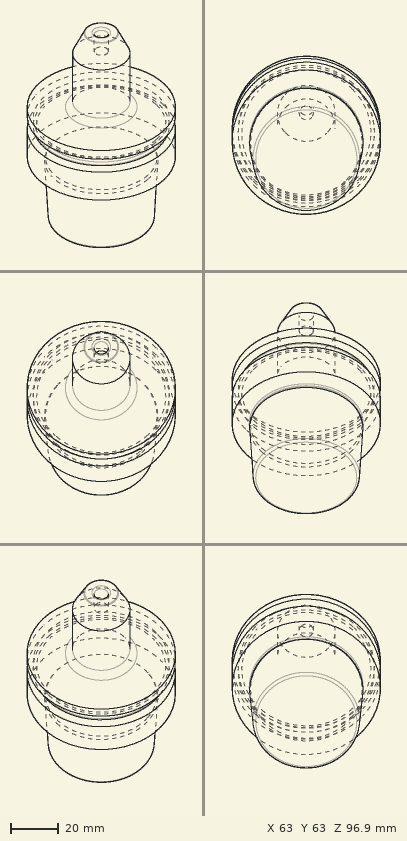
import cadquery as cq
import math

total_height = 96.9
flange_bottom = 32.0
flange_height = 26.0
flange_top = flange_bottom + flange_height
flange_radius = 31.5

taper_slope = 1 / 20
shank_end_fillet = 1.2

neck_radius = 23.6
neck_fillet = 0.6
neck_cylinder_height = 0.6
neck_cone_height = 0.6
neck_cone_angle = 30.0

groove_center = flange_bottom + 18.0
groove_mouth_width = 6.8
groove_floor_width = 3.8
groove_floor_radius = 27.4
groove_floor_fillet = 0.9
groove_flank_angle = 30.0

pin_radius = 12.2
pin_root_fillet = 3.0
pin_cone_start = 86.2
pin_cone_angle = 25.0
pin_tip_fillet = 0.4

hole_radius = 3.0
hole_depth = 9.7
hole_mouth_fillet = 1.0


def revolve_profile(profile):
    """Close an XZ half-profile and turn it once around the Z axis."""
    return profile.close().revolve(360, (0, 0), (0, 1))


def make_shank():
    """Taper shank with a rounded lower end and a relief neck against the flange."""
    cone_angle = math.radians(neck_cone_angle)
    neck_top = flange_bottom - neck_fillet
    neck_bottom = neck_top - neck_cylinder_height

    cone_top_radius = neck_radius + neck_fillet * (1 - math.cos(cone_angle))
    cone_top = neck_bottom - neck_fillet * math.sin(cone_angle)
    taper_top_radius = cone_top_radius + neck_cone_height * math.tan(cone_angle)
    taper_top = cone_top - neck_cone_height
    taper_bottom_radius = taper_top_radius - taper_slope * taper_top

    profile = (
        cq.Workplane("XZ")
        .lineTo(taper_bottom_radius, 0)
        .lineTo(taper_top_radius, taper_top)
        .lineTo(cone_top_radius, cone_top)
        .radiusArc((neck_radius, neck_bottom), neck_fillet)
        .lineTo(neck_radius, neck_top)
        .radiusArc((neck_radius + neck_fillet, flange_bottom), neck_fillet)
        .lineTo(0, flange_bottom)
    )
    return revolve_profile(profile).faces("<Z").edges().fillet(shank_end_fillet)


def make_flange():
    """Round flange with a V-groove that ends in a rounded rectangular floor."""
    half_mouth = groove_mouth_width / 2
    half_floor = groove_floor_width / 2
    flank_depth = (half_mouth - half_floor) / math.tan(math.radians(groove_flank_angle))
    flank_inner_radius = flange_radius - flank_depth
    step_inner_radius = groove_floor_radius + groove_floor_fillet
    half_straight = half_floor - groove_floor_fillet

    profile = (
        cq.Workplane("XZ")
        .moveTo(0, flange_bottom)
        .lineTo(flange_radius, flange_bottom)
        .lineTo(flange_radius, groove_center - half_mouth)
        .lineTo(flank_inner_radius, groove_center - half_floor)
        .lineTo(step_inner_radius, groove_center - half_floor)
        .radiusArc((groove_floor_radius, groove_center - half_straight), groove_floor_fillet)
        .lineTo(groove_floor_radius, groove_center + half_straight)
        .radiusArc((step_inner_radius, groove_center + half_floor), groove_floor_fillet)
        .lineTo(flank_inner_radius, groove_center + half_floor)
        .lineTo(flange_radius, groove_center + half_mouth)
        .lineTo(flange_radius, flange_top)
        .lineTo(0, flange_top)
    )
    return revolve_profile(profile)


def make_pin():
    """Pin with a flared root, a conical nose and a blind hole with a rounded mouth."""
    nose_height = total_height - pin_cone_start
    tip_radius = pin_radius - nose_height * math.tan(math.radians(pin_cone_angle))
    profile = (
        cq.Workplane("XZ")
        .moveTo(0, flange_top)
        .lineTo(pin_radius + pin_root_fillet, flange_top)
        .radiusArc((pin_radius, flange_top + pin_root_fillet), pin_root_fillet)
        .lineTo(pin_radius, pin_cone_start)
        .lineTo(tip_radius, total_height)
        .lineTo(0, total_height)
    )
    pin = revolve_profile(profile).faces(">Z").edges().fillet(pin_tip_fillet)
    pin = pin.faces(">Z").workplane().hole(2 * hole_radius, hole_depth)
    hole_rim = cq.selectors.RadiusNthSelector(0)
    return pin.faces(">Z").edges(hole_rim).fillet(hole_mouth_fillet)


result = make_shank().union(make_flange()).union(make_pin())